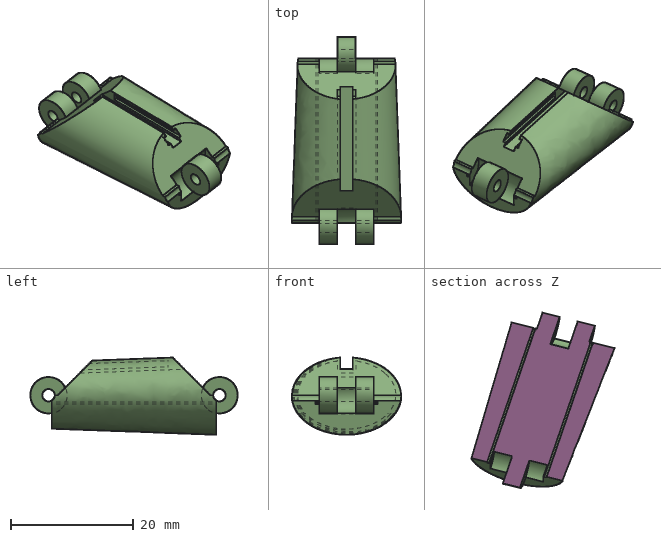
import cadquery as cq

body_length = 27.0
front_half_width = 9.0
front_half_height = 6.5
taper = 1.0
back_half_width = front_half_width - taper
back_half_height = front_half_height - taper
mid_half_height = (front_half_height + back_half_height) / 2
half_length = body_length / 2

ledge = 1.0
slope_start = half_length - ledge

hinge_axis_y = 14.0
knuckle_radius = 3.0
knuckle_width = 3.0
pin_radius = 1.0

slot_width = 2.0
slot_depth = 2.0
undercut_width = 3.0
undercut_height = 1.0
undercut_lift = 0.5
undercut_front_y = -5.5

wire_hole_radius = 0.15
counterbore_radius = 0.25
counterbore_depth = 0.2
wire_hole_x = 4.9
wire_hole_z = -1.25

front = -1
back = 1


def x_cylinder(radius, width, center_x, end):
    """Cylinder along X, centred on the hinge axis at one end of the body."""
    return (
        cq.Workplane("YZ", origin=(center_x - width / 2, 0, 0))
        .center(end * hinge_axis_y, 0)
        .circle(radius)
        .extrude(width)
    )


def tapered_body():
    return (
        cq.Workplane("XZ", origin=(0, half_length, 0))
        .ellipse(back_half_width, back_half_height)
        .workplane(offset=body_length)
        .ellipse(front_half_width, front_half_height)
        .loft(ruled=True)
    )


def slope_trim(end):
    """Wedge above the 45 degree slope and the ledge at one end."""
    rise = 2 * front_half_height
    return (
        cq.Workplane("YZ", origin=(-front_half_width, 0, 0))
        .moveTo(end * slope_start, 0)
        .lineTo(end * (slope_start - rise), rise)
        .lineTo(end * (slope_start + rise), rise)
        .lineTo(end * (slope_start + rise), 0)
        .close()
        .extrude(2 * front_half_width)
    )


def sloped_groove(width, bottom, height, start_y, end_y):
    """Groove parallel to the top line; bottom is its floor height at Y = 0."""
    fall = taper / body_length
    start_z = bottom - fall * start_y
    end_z = bottom - fall * end_y
    return (
        cq.Workplane("YZ", origin=(-width / 2, 0, 0))
        .moveTo(start_y, start_z)
        .lineTo(end_y, end_z)
        .lineTo(end_y, end_z + height)
        .lineTo(start_y, start_z + height)
        .close()
        .extrude(width)
    )


def wire_hole(x):
    """Through hole along Y, counterbored where it opens at the front end."""
    bore = (
        cq.Workplane("XZ", origin=(x, half_length, wire_hole_z))
        .circle(wire_hole_radius)
        .extrude(body_length)
    )
    counterbore = (
        cq.Workplane("XZ", origin=(x, counterbore_depth - half_length, wire_hole_z))
        .circle(counterbore_radius)
        .extrude(counterbore_depth)
    )
    return bore.union(counterbore)


result = tapered_body()
for end in (front, back):
    result = result.cut(slope_trim(end))

slot_floor = mid_half_height - slot_depth
undercut_floor = slot_floor + undercut_lift
result = result.cut(sloped_groove(slot_width, slot_floor, 2 * slot_depth, -half_length, half_length))
result = result.cut(
    sloped_groove(undercut_width, undercut_floor, undercut_height, undercut_front_y, half_length)
)

outer_places = (-knuckle_width, knuckle_width)
middle_place = (0,)
for end, knuckles, gaps in ((front, outer_places, middle_place), (back, middle_place, outer_places)):
    for x in gaps:
        result = result.cut(x_cylinder(knuckle_radius, knuckle_width, x, end))
    for x in knuckles:
        result = result.union(x_cylinder(knuckle_radius, knuckle_width, x, end))
    result = result.cut(x_cylinder(pin_radius, 2 * front_half_width, 0, end))

for x in (-wire_hole_x, wire_hole_x):
    result = result.cut(wire_hole(x))